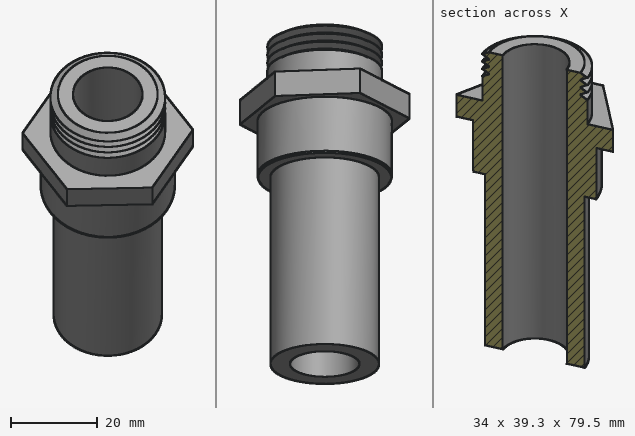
import cadquery as cq

total_height = 79.5
bore_diameter = 16.0

pipe_diameter = 25.05
collar_diameter = 31.0
collar_height = 13.8
collar_chamfer_height = 0.5
collar_chamfer_width = 0.15

hex_corner_diameter = 39.3
hex_height = 6.05

neck_diameter = 26.5
neck_height = 13.4
thread_root_diameter = 23.0
thread_pitch = 2.0
groove_count = 3

hex_top = total_height - neck_height
hex_bottom = hex_top - hex_height
collar_bottom = hex_bottom - collar_height


def cylinder(diameter, bottom, top):
    return cq.Workplane("XY").workplane(offset=bottom).circle(diameter / 2).extrude(top - bottom)


def make_collar():
    """Cylinder with a slight chamfer around its lower edge."""
    collar = cylinder(collar_diameter, collar_bottom, hex_bottom)
    return collar.faces("<Z").edges().chamfer(collar_chamfer_height, collar_chamfer_width)


def make_hex_flange():
    flange = cq.Workplane("XY").workplane(offset=hex_bottom)
    flange = flange.polygon(6, hex_corner_diameter).extrude(hex_height)
    return flange.rotate((0, 0, 0), (0, 0, 1), 30)


def make_threaded_neck():
    """Revolved neck: bevelled top, then V-shaped grooves above a plain stretch."""
    crest_radius = neck_diameter / 2
    root_radius = thread_root_diameter / 2
    profile = [(0, hex_top), (0, total_height), (root_radius, total_height)]
    for groove in range(groove_count):
        root_level = total_height - (groove + 1) * thread_pitch
        profile.append((crest_radius, root_level + thread_pitch / 2))
        profile.append((root_radius, root_level))
    lowest_crest = total_height - (groove_count + 0.5) * thread_pitch
    profile.append((crest_radius, lowest_crest))
    profile.append((crest_radius, hex_top))
    return cq.Workplane("XZ").polyline(profile).close().revolve(360, (0, 0, 0), (0, 1, 0))


pipe = cylinder(pipe_diameter, 0, collar_bottom)
bore = cylinder(bore_diameter, 0, total_height)
body = pipe.union(make_collar()).union(make_hex_flange()).union(make_threaded_neck())
result = body.cut(bore)